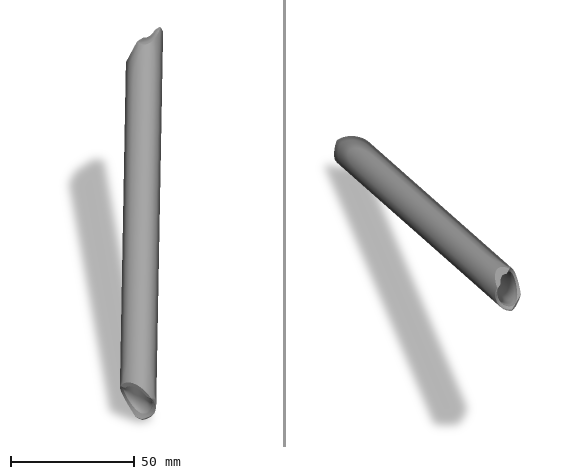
import cadquery as cq

size_x = 127.2
size_y = 161.5
size_z = 66.7

outer_radius = 7.5
wall = 1.5
inner_radius = outer_radius - wall

back_node = cq.Vector(-65.0, 78.4, 30.5)
front_node = cq.Vector(60.5, -85.5, -27.3)

end_setback = 2.9
mating_length = 97.0

along_x = cq.Vector(1, 0, 0)
along_y = cq.Vector(0, 1, 0)


def cylinder(start, end, radius):
    """Solid cylinder between two points."""
    axis = end - start
    return cq.Workplane(cq.Solid.makeCylinder(radius, axis.Length, start, axis))


def mating_tube(node, direction):
    """Outer shape of a mating tube centred on a node, along a unit direction."""
    reach = direction * (mating_length / 2)
    return cylinder(node - reach, node + reach, outer_radius)


axis_direction = (front_node - back_node).normalized()
back_end = back_node + axis_direction * end_setback
front_end = front_node - axis_direction * end_setback
stock = cylinder(back_end, front_end, outer_radius)
stock = stock.cut(cylinder(back_end, front_end, inner_radius))

coped = stock.cut(mating_tube(back_node, along_y))
coped = coped.cut(mating_tube(front_node, along_x))

tube = max(coped.solids().vals(), key=lambda piece: piece.Volume())

envelope = cq.Workplane().box(size_x, size_y, size_z)
result = cq.Workplane(tube).intersect(envelope)